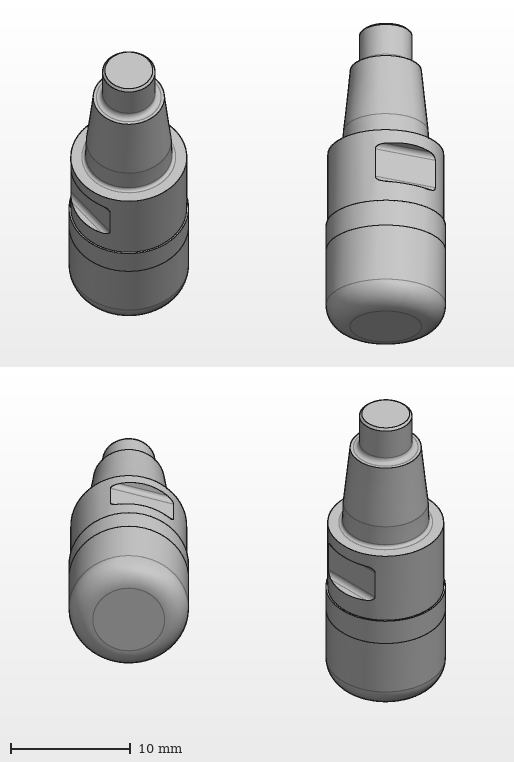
import cadquery as cq
import math

total_height = 27.1
cap_height = 7.0
collar_height = 2.3
barrel_height = 6.6
base_taper_top = 18.0
cone_top = 23.65

cap_radius = 10.0 / 2
barrel_radius = 9.7 / 2
tip_radius = 4.4 / 2
base_taper_bottom_radius = 3.62
cone_bottom_radius = 3.55
cone_top_radius = 2.98

cap_round = 2.0
tip_chamfer = 0.2
tip_fillet = 0.5
base_fillet = 0.3

across_flats = 8.0
flat_floor_height = 3.32
flat_wall_angle = 13.0
flat_center_z = 12.9
flat_fillet = 0.5

collar_top = cap_height + collar_height
flat_y = across_flats / 2
barrel_top = collar_top + barrel_height


def make_cap():
    """Solid cylindrical cap with a rounded bottom rim."""
    cap = cq.Workplane("XY").circle(cap_radius).extrude(cap_height)
    return cap.faces("<Z").edges().fillet(cap_round)


def add_root_fillet(profile, neck_radius, shoulder_z, fillet_radius):
    """Run the profile inward along a shoulder and up a concave quarter arc onto the neck."""
    arc_center_radius = neck_radius + fillet_radius
    arc_center_z = shoulder_z + fillet_radius
    arc_offset = fillet_radius * math.sqrt(0.5)
    return profile.lineTo(arc_center_radius, shoulder_z).threePointArc(
        (arc_center_radius - arc_offset, arc_center_z - arc_offset),
        (neck_radius, arc_center_z),
    )


def make_turned_stem():
    """Revolved stem: collar, barrel, two tapers and the cylindrical tip."""
    profile = (
        cq.Workplane("XZ")
        .moveTo(0, cap_height)
        .lineTo(cap_radius, cap_height)
        .lineTo(cap_radius, collar_top)
        .lineTo(barrel_radius, collar_top)
        .lineTo(barrel_radius, barrel_top)
    )
    profile = add_root_fillet(profile, base_taper_bottom_radius, barrel_top, base_fillet)
    profile = profile.lineTo(cone_bottom_radius, base_taper_top).lineTo(cone_top_radius, cone_top)
    profile = add_root_fillet(profile, tip_radius, cone_top, tip_fillet)
    profile = (
        profile.lineTo(tip_radius, total_height - tip_chamfer)
        .lineTo(tip_radius - tip_chamfer, total_height)
        .lineTo(0, total_height)
        .close()
    )
    return profile.revolve(360, (0, 0, 0), (0, 1, 0))


def make_flat_cutter():
    """Prism along X whose inner face is the -Y wrench flat, with flared and rounded top and bottom walls."""
    cutter_depth = cap_radius - flat_y
    flare = cutter_depth * math.tan(math.radians(flat_wall_angle))
    inner_half_height = flat_floor_height / 2
    outer_half_height = inner_half_height + flare
    return (
        cq.Workplane("YZ")
        .polyline(
            [
                (-flat_y, flat_center_z - inner_half_height),
                (-flat_y, flat_center_z + inner_half_height),
                (-cap_radius, flat_center_z + outer_half_height),
                (-cap_radius, flat_center_z - outer_half_height),
            ]
        )
        .close()
        .extrude(cap_radius, both=True)
        .faces(">Y")
        .edges("|X")
        .fillet(flat_fillet)
    )


def make_stem():
    """Turned stem with two opposite wrench flats."""
    stem = make_turned_stem()
    cutter = make_flat_cutter()
    for side_angle in (0, 180):
        stem = stem.cut(cutter.rotate((0, 0, 0), (0, 0, 1), side_angle))
    return stem


cap = make_cap()
stem = make_stem()
result = cq.Compound.makeCompound([cap.val(), stem.val()])